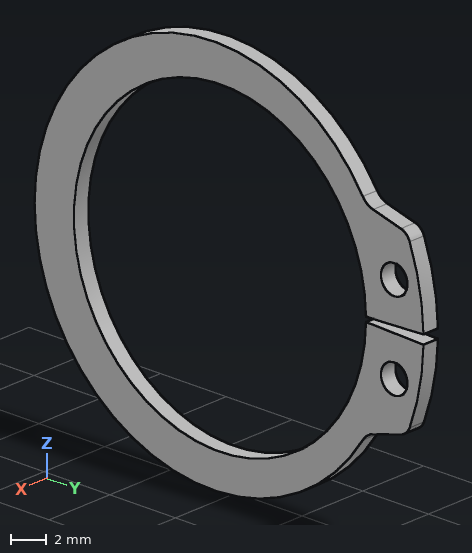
import cadquery as cq
import math

thickness = 1.2
bore_radius = 11.1
back_width = 3.0
rim_radius = 13.567
rim_center_y = rim_radius - bore_radius - back_width

lug_radius = 15.486
lug_flank_y = 12.46
lug_flank_z = 6.57
lug_flank_angle = 15.0
lug_corner_fillet = 1.0
lug_root_fillet = 1.35

hole_diameter = 2.0
hole_y = 13.25
hole_z = 3.0

gap_half_at_bore = 0.156
gap_half_angle = 2.0
cut_overrun = 1.0


def disc(radius, center_y=0.0, center_z=0.0):
    """Disc of the ring's thickness, centred on the YZ plane."""
    plane = cq.Workplane("YZ").center(center_y, center_z)
    return plane.circle(radius).extrude(thickness / 2, both=True)


def plate(points):
    """Polygonal plate of the ring's thickness, centred on the YZ plane."""
    return cq.Workplane("YZ").polyline(points).close().extrude(thickness / 2, both=True)


def flank_height(y):
    """Height of the upper lug's flank at the given Y."""
    return lug_flank_z - (y - lug_flank_y) * math.tan(math.radians(lug_flank_angle))


def lug_blank():
    """Both lugs as one wedge, rounded off by the lug tip circle."""
    wedge = plate([
        (0, -flank_height(0)),
        (lug_radius, -flank_height(lug_radius)),
        (lug_radius, flank_height(lug_radius)),
        (0, flank_height(0)),
    ])
    return wedge.intersect(disc(lug_radius))


def gap_cutter():
    """Wedge that separates the lugs and opens outward."""
    slope = math.tan(math.radians(gap_half_angle))
    outer_y = lug_radius + cut_overrun
    inner_half = gap_half_at_bore
    outer_half = inner_half + (outer_y - bore_radius) * slope
    inner_y = bore_radius - cut_overrun
    inner_half -= (bore_radius - inner_y) * slope
    return plate([
        (inner_y, -inner_half),
        (outer_y, -outer_half),
        (outer_y, outer_half),
        (inner_y, inner_half),
    ])


def round_corners(body, y_min, y_max, radius):
    """Fillet the edges along X that lie within a range of Y."""
    box = cq.selectors.BoxSelector(
        (-thickness, y_min, -rim_radius),
        (thickness, y_max, rim_radius),
    )
    return body.edges("|X").edges(box).fillet(radius)


body = disc(rim_radius, rim_center_y).union(lug_blank())
body = round_corners(body, lug_flank_y, lug_radius, lug_corner_fillet)
body = round_corners(body, 0, lug_flank_y, lug_root_fillet)
body = body.cut(disc(bore_radius)).cut(gap_cutter())
for side in (-1, 1):
    body = body.cut(disc(hole_diameter / 2, hole_y, side * hole_z))

result = body